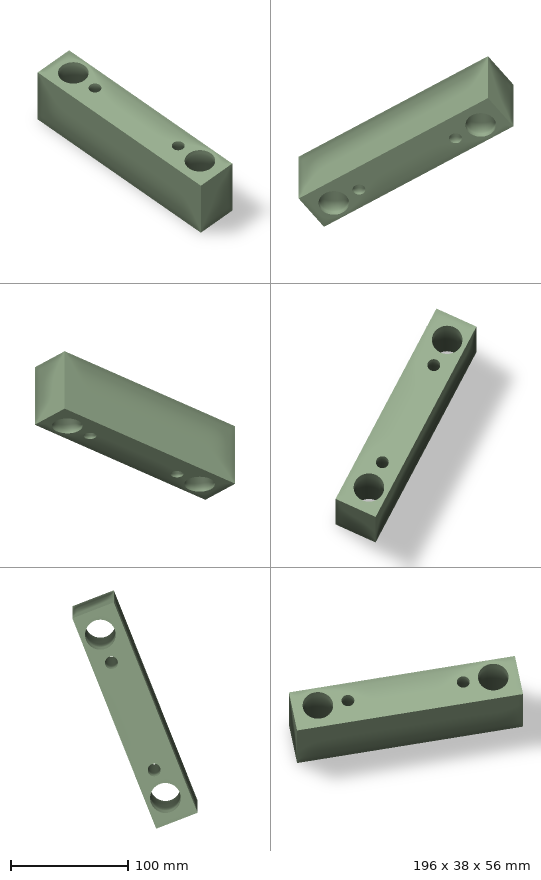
import cadquery as cq

length = 196
width = 38.0
height = 56.0

large_diameter = 26.0
large_spacing = 152.0
small_diameter = 11.0
small_spacing = 100.0
hole_row_offset = 2.0


def drill_pair(body, diameter, spacing):
    """Drill two vertical through holes, spaced evenly about the middle."""
    centers = [(side * spacing / 2, hole_row_offset) for side in (-1, 1)]
    return body.faces(">Z").workplane(origin=(0, 0, height)).pushPoints(centers).hole(diameter)


block = cq.Workplane("XY").box(length, width, height, centered=(True, True, False))
block = drill_pair(block, large_diameter, large_spacing)
result = drill_pair(block, small_diameter, small_spacing)